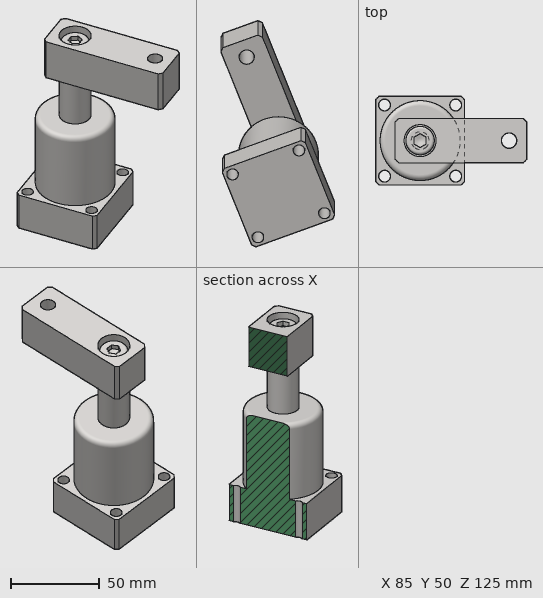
import cadquery as cq
import math

flange_height = 23.0
housing_top = 70.0
arm_bottom = 100.0
arm_top = 125.0

flange_width = 50.0
flange_corner_diameter = 68.0
mount_hole_diameter = 6.5
mount_hole_spacing = 40.0
barrel_diameter = 45.0
barrel_fillet = 3.0

rod_diameter = 18.0

arm_start = -14.0
arm_length = 74.0
arm_width = 25.0
arm_corner_chamfer = 2.0
arm_height = arm_top - arm_bottom
tip_hole_diameter = 8.5
tip_hole_x = 50.0
counterbore_diameter = rod_diameter
counterbore_depth = 13.0

head_diameter = 16.0
head_height = 10.0
head_fillet = 1.5
shank_diameter = 10.0
shank_depth_in_rod = 15.0
socket_sides = 6
socket_across_flats = 6.8
socket_wall_depth = 2.8
socket_point_angle = 150.0

head_seat = arm_top - counterbore_depth
head_top = head_seat + head_height
shank_end = arm_bottom - shank_depth_in_rod


def cylinder(diameter, bottom, top):
    """Upright cylinder on the Z axis between two heights."""
    return cq.Workplane("XY").workplane(offset=bottom).circle(diameter / 2).extrude(top - bottom)


def make_housing():
    """Flange with turned corners and four mounting holes, and the barrel with its rounded top edge."""
    flange = (
        cq.Workplane("XY")
        .rect(flange_width, flange_width)
        .extrude(flange_height)
        .intersect(cylinder(flange_corner_diameter, 0, flange_height))
        .faces(">Z")
        .workplane()
        .rect(mount_hole_spacing, mount_hole_spacing, forConstruction=True)
        .vertices()
        .hole(mount_hole_diameter)
    )
    barrel = cylinder(barrel_diameter, flange_height, housing_top)
    barrel = barrel.faces(">Z").edges().fillet(barrel_fillet)
    return flange.union(barrel)


def make_rod():
    """Rod from the barrel's top face to the arm, with a blind hole for the screw."""
    rod = cylinder(rod_diameter, housing_top, arm_bottom)
    return rod.cut(cylinder(shank_diameter, shank_end, arm_bottom))


def make_arm():
    """Bar with chamfered upright edges, a counterbored screw hole and a tip hole."""
    arm = (
        cq.Workplane("XY")
        .box(arm_length, arm_width, arm_height, centered=(False, True, False))
        .translate((arm_start, 0, arm_bottom))
        .edges("|Z")
        .chamfer(arm_corner_chamfer)
    )
    arm = arm.cut(cylinder(shank_diameter, arm_bottom, arm_top))
    arm = arm.cut(cylinder(counterbore_diameter, head_seat, arm_top))
    return arm.cut(cylinder(tip_hole_diameter, arm_bottom, arm_top).translate((tip_hole_x, 0, 0)))


def make_hex_socket():
    """Hexagonal recess with flats facing +X and -X, ending in a conical point."""
    half_side_angle = 180 / socket_sides
    corner_radius = socket_across_flats / 2 / math.cos(math.radians(half_side_angle))
    point_depth = corner_radius / math.tan(math.radians(socket_point_angle / 2))
    wall_bottom = head_top - socket_wall_depth
    point_bottom = wall_bottom - point_depth
    hexagon = (
        cq.Workplane("XY")
        .workplane(offset=point_bottom)
        .transformed(rotate=(0, 0, half_side_angle))
        .polygon(socket_sides, 2 * corner_radius)
        .extrude(head_top - point_bottom)
    )
    drilled_space = (
        cq.Workplane("XZ")
        .moveTo(0, point_bottom)
        .lineTo(corner_radius, wall_bottom)
        .lineTo(corner_radius, head_top)
        .lineTo(0, head_top)
        .close()
        .revolve(360, (0, 0), (0, 1))
    )
    return hexagon.intersect(drilled_space)


def make_screw():
    """Round head with a rounded rim and hexagon socket, on a plain shank."""
    head = cylinder(head_diameter, head_seat, head_top).faces(">Z").edges().fillet(head_fillet)
    shank = cylinder(shank_diameter, shank_end, head_seat)
    return head.union(shank).cut(make_hex_socket())


housing = make_housing()
rod = make_rod()
arm = make_arm()
screw = make_screw()

result = cq.Compound.makeCompound([housing.val(), rod.val(), arm.val(), screw.val()])